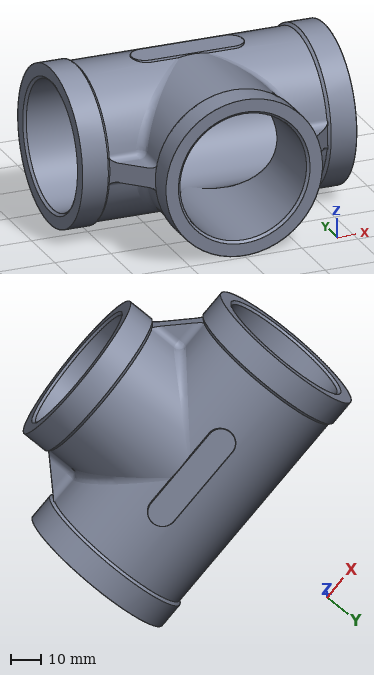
import cadquery as cq

half_length = 49.0
collar_diameter = 56.0
body_radius = 27.0
collar_length = 10.1
bore_radius = 22.6
mouth_chamfer = 0.9
web_thickness = 7.0
blend_radius = 2.9
pad_length = 40.5
pad_width = 10.2
pad_height = 0.3
pad_draft = 15.0
pad_root = 26.4

collar_radius = collar_diameter / 2
collar_chamfer = collar_radius - body_radius
shoulder = half_length - collar_length
web_reach = shoulder + body_radius

LEFT, RIGHT, BRANCH = (-1, 0, 0), (1, 0, 0), (0, -1, 0)
MOUTHS = (LEFT, RIGHT, BRANCH)
UP = (0, 0, 1)


def arm_cylinder(direction, radius, start=0.0):
    """Cylinder on the axis of one arm, from a distance along it out to the mouth."""
    plane = cq.Plane(origin=(0, 0, 0), xDir=UP, normal=direction)
    return cq.Workplane(plane).workplane(offset=start).circle(radius).extrude(half_length - start)


def corner_web(side):
    """Flat web filling the corner between the branch and the run on one side (-1 or 1)."""
    inset = web_reach - half_length
    outline = [
        (0, 0),
        (side * half_length, 0),
        (side * half_length, -inset),
        (side * inset, -half_length),
        (0, -half_length),
    ]
    return cq.Workplane("XY").polyline(outline).close().extrude(web_thickness / 2, both=True)


def is_inner_corner(edge):
    """True for the edges where run, branch and webs meet, but not for the web's sloping rim."""
    clearance = 1.0
    center = edge.Center()
    across, outward = abs(center.x), -center.y
    off_axes = min(across, outward) > clearance
    return off_axes and across + outward < web_reach - clearance


def blended_body():
    """Solid run and branch with corner webs, all inner corners rounded."""
    body = arm_cylinder(LEFT, body_radius)
    for direction in (RIGHT, BRANCH):
        body = body.union(arm_cylinder(direction, body_radius))
    for side in (-1, 1):
        body = body.union(corner_web(side))
    corners = [edge for edge in body.edges().vals() if is_inner_corner(edge)]
    return body.newObject(corners).fillet(blend_radius)


def collar(direction):
    """Solid disc for the raised collar at a mouth, chamfered down to the body at its inner end."""
    disc = arm_cylinder(direction, collar_radius, start=shoulder)
    inner_end = cq.DirectionMinMaxSelector(cq.Vector(direction), directionMax=False)
    return disc.faces(inner_end).edges().chamfer(collar_chamfer)


def label_pads():
    """Flat, round-ended pads on the top and bottom of the run, with drafted sides."""
    top = (
        cq.Workplane("XY", origin=(0, 0, pad_root))
        .slot2D(pad_length, pad_width)
        .extrude(body_radius + pad_height - pad_root, taper=pad_draft)
    )
    return top.union(top.mirror("XY"))


def bore(direction):
    """Cutter for one bore, flared at 45 degrees where it meets the mouth."""
    hole = arm_cylinder(direction, bore_radius)
    flare = cq.Solid.makeCone(
        bore_radius,
        bore_radius + mouth_chamfer,
        mouth_chamfer,
        pnt=cq.Vector(direction) * (half_length - mouth_chamfer),
        dir=cq.Vector(direction),
    )
    return hole.union(cq.Workplane(flare))


result = blended_body().union(label_pads())
for mouth in MOUTHS:
    result = result.union(collar(mouth))
for mouth in MOUTHS:
    result = result.cut(bore(mouth))